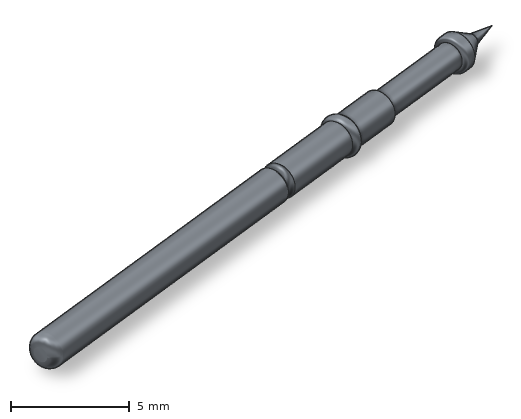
import cadquery as cq
import math

length = 32.0

needle_length = 1.25
neck_length = 0.2
neck_radius = 0.25

head_front_radius = 0.32
head_radius = 0.9
flare_length = 1.0
head_rim_length = 0.4
head_rounding = 0.2

stem_radius = 0.655

barrel_start = 8.0
barrel_radius = 0.83
end_rounding = 0.48

ring_center = 10.72
ring_width = 0.58
ring_radius = 1.0

groove_center = 15.33
groove_width = 0.48
groove_radius = stem_radius

neck_end = needle_length + neck_length
flare_end = neck_end + flare_length
rim_end = flare_end + head_rim_length
head_end = rim_end + head_rounding


def at(radius, station):
    """Profile point at a radius and a distance behind the needle tip."""
    return (radius, length / 2 - station)


def rounded_corner_middle(radius, start, rounding):
    """Middle of a quarter-round that turns a cylinder toward its rear face."""
    offset = rounding * math.sqrt(0.5)
    return at(radius - rounding + offset, start + offset)


profile = (
    cq.Workplane("XY")
    .moveTo(*at(0, 0))
    .lineTo(*at(neck_radius, needle_length))
    .lineTo(*at(neck_radius, neck_end))
    .lineTo(*at(head_front_radius, neck_end))
    .lineTo(*at(head_radius, flare_end))
    .lineTo(*at(head_radius, rim_end))
    .threePointArc(
        rounded_corner_middle(head_radius, rim_end, head_rounding),
        at(head_radius - head_rounding, head_end),
    )
    .lineTo(*at(stem_radius, head_end))
    .lineTo(*at(stem_radius, barrel_start))
    .lineTo(*at(barrel_radius, barrel_start))
    .lineTo(*at(barrel_radius, ring_center - ring_width / 2))
    .threePointArc(
        at(ring_radius, ring_center),
        at(barrel_radius, ring_center + ring_width / 2),
    )
    .lineTo(*at(barrel_radius, groove_center - groove_width / 2))
    .threePointArc(
        at(groove_radius, groove_center),
        at(barrel_radius, groove_center + groove_width / 2),
    )
    .lineTo(*at(barrel_radius, length - end_rounding))
    .threePointArc(
        rounded_corner_middle(barrel_radius, length - end_rounding, end_rounding),
        at(barrel_radius - end_rounding, length),
    )
    .lineTo(*at(0, length))
    .close()
)

result = profile.revolve(360, (0, 0, 0), (0, 1, 0))